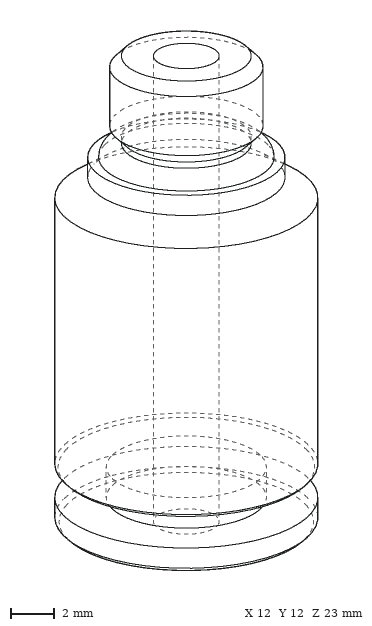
import cadquery as cq

total_height = 23.0
bore_diameter = 3.0

collar_diameter = 12.0
collar_height = 1.2
collar_chamfer = 0.2
collar_stem_diameter = 7.3
collar_gap = 1.5

body_diameter = 12.0
body_edge_chamfer = 0.15
flange_diameter = 9.0
shoulder_height = 1.0
flange_height = 1.0

thread_diameter = 7.0
thread_minor_diameter = 5.92
thread_length = 4.0

ring_outer_diameter = 8.0
ring_section_radius = 0.75

body_bottom = collar_height + collar_gap
flange_top = total_height - thread_length - flange_height
flange_bottom = flange_top - flange_height
shoulder_bottom = flange_bottom - shoulder_height
thread_bottom = total_height - thread_length


def cylinder(diameter, bottom, top):
    """Upright cylinder on the Z axis between two heights."""
    return cq.Workplane("XY").workplane(offset=bottom).circle(diameter / 2).extrude(top - bottom)


def make_collar():
    disc = cylinder(collar_diameter, 0, collar_height).faces("<Z").chamfer(collar_chamfer)
    stem = cylinder(collar_stem_diameter, collar_height, body_bottom)
    return disc.union(stem)


def make_body():
    barrel = cylinder(body_diameter, body_bottom, shoulder_bottom).faces("<Z").chamfer(body_edge_chamfer)
    shoulder = (
        cq.Workplane("XY")
        .workplane(offset=shoulder_bottom)
        .circle(body_diameter / 2)
        .workplane(offset=shoulder_height)
        .circle(flange_diameter / 2)
        .loft(ruled=True)
    )
    flange = cylinder(flange_diameter, flange_bottom, flange_top)
    return barrel.union(shoulder).union(flange)


def make_threaded_end():
    neck = cylinder(thread_minor_diameter, flange_top, thread_bottom)
    end_chamfer = (thread_diameter - thread_minor_diameter) / 2
    thread = cylinder(thread_diameter, thread_bottom, total_height).faces("<Z or >Z").chamfer(end_chamfer)
    return neck.union(thread)


def make_sealing_ring():
    section_center_radius = ring_outer_diameter / 2 - ring_section_radius
    return (
        cq.Workplane("XZ")
        .center(section_center_radius, flange_top)
        .circle(ring_section_radius)
        .revolve(360, (-section_center_radius, 0), (-section_center_radius, 1))
    )


bore = cylinder(bore_diameter, 0, total_height)

result = (
    make_collar()
    .union(make_body())
    .union(make_threaded_end())
    .union(make_sealing_ring())
    .cut(bore)
)